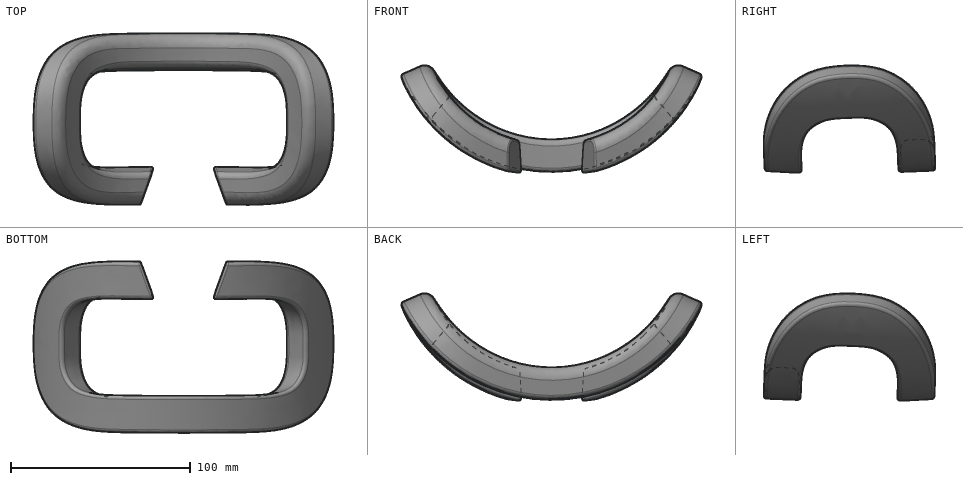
import math

import cadquery as cq

base_radius = 92.0
pad_height = 17.9
tilt = 2.3

straight_half = 37.5
outer_reach = 69.4
outer_half_width = 47.7
outer_power = 2.4
inner_reach = 39.2
inner_half_width = 26.5
inner_power = 3.2

base_round = 2.0
outer_round_bar = 7.5
outer_round_side = 6.1
inner_lean = 3.0
inner_round = 3.9

cap_angle = 20.0
cap_outer_x = 24.0
cap_round = 1.2
gap_margin = 5.0

LOOP_STEPS = 10
BAR_STEPS = 4


def loop_radius(angle, reach, half_width, power):
    """Polar radius of a superellipse, seen from the end of the straight bars."""
    along = abs(math.cos(angle)) / reach
    across = abs(math.sin(angle)) / half_width
    return (along**power + across**power) ** (-1 / power)


def wrap(s, y, height):
    """Point at a height above the unrolled base position (s, y), on the -X side."""
    turn = s / base_radius
    radius = base_radius - height
    return cq.Vector(-radius * math.sin(turn), y, base_radius - radius * math.cos(turn))


def rounded_corner(before, corner, after, radius):
    """Start, middle and end of the arc that rounds a corner of the cross-section."""
    corner = cq.Vector(*corner)
    to_before = (cq.Vector(*before) - corner).normalized()
    to_after = (cq.Vector(*after) - corner).normalized()
    half_angle = to_before.getAngle(to_after) / 2
    setback = radius / math.tan(half_angle)
    bisector = (to_before + to_after).normalized()
    middle = corner + bisector * (radius / math.sin(half_angle) - radius)
    return corner + to_before * setback, middle, corner + to_after * setback


def section(inner, outer, outer_round):
    """Closed cross-section standing on the line between two base points (s, y)."""
    width = math.dist(inner, outer)
    corners = [(0, 0), (width, 0), (width, pad_height), (inner_lean, pad_height)]
    radii = [base_round, base_round, outer_round, inner_round]

    def place(point):
        share = point.x / width
        s = inner[0] + (outer[0] - inner[0]) * share
        y = inner[1] + (outer[1] - inner[1]) * share
        return wrap(s, y, point.y)

    count = len(corners)
    arcs = [
        rounded_corner(corners[i - 1], corners[i], corners[(i + 1) % count], radii[i])
        for i in range(count)
    ]
    edges = []
    for i, (start, middle, end) in enumerate(arcs):
        next_start = arcs[(i + 1) % count][0]
        edges.append(cq.Edge.makeThreePointArc(place(start), place(middle), place(end)))
        edges.append(cq.Edge.makeSpline([place(end), place((end + next_start) / 2), place(next_start)]))
    return cq.Wire.assembleEdges(edges)


def bar_section(s, side):
    """Section of the back bar (side 1) or a front leg (side -1)."""
    return section((s, side * inner_half_width), (s, side * outer_half_width), outer_round_bar)


def loop_section(angle):
    """Section of the side loop, at an angle from its outermost point."""
    along = math.cos(angle)
    across = math.sin(angle)
    inner_r = loop_radius(angle, inner_reach, inner_half_width, inner_power)
    outer_r = loop_radius(angle, outer_reach, outer_half_width, outer_power)
    inner = (straight_half + inner_r * along, inner_r * across)
    outer = (straight_half + outer_r * along, outer_r * across)
    outer_round = outer_round_bar + (outer_round_side - outer_round_bar) * along**2
    return section(inner, outer, outer_round)


def ring():
    """Ring from one front leg, around over the back bar, to the other front leg."""
    bar = [straight_half * i / BAR_STEPS for i in range(1, BAR_STEPS)]
    loop = [math.pi * (i / LOOP_STEPS - 0.5) for i in range(LOOP_STEPS + 1)]
    left = [bar_section(s, -1) for s in bar]
    left += [loop_section(angle) for angle in loop]
    left += [bar_section(s, 1) for s in reversed(bar)]
    right = [wire.mirror("YZ") for wire in reversed(left)]
    return cq.Workplane(obj=cq.Solid.makeLoft(left + [bar_section(0, 1)] + right))


def leg_gap():
    """Tapered block that opens the front of the ring and leaves the splayed ends."""
    splay = math.tan(math.radians(cap_angle))
    front_x = cap_outer_x + splay * gap_margin
    back_x = cap_outer_x - splay * outer_half_width
    front_y = -outer_half_width - gap_margin
    profile = [(-front_x, front_y), (-back_x, 0), (back_x, 0), (front_x, front_y)]
    block = cq.Workplane("XY", origin=(0, 0, -gap_margin)).polyline(profile).close()
    return block.extrude(base_radius)


def round_ends(body):
    """Round the rim of both end faces; each round runs on from the outer wall's edge."""
    return body.faces("%PLANE").edges("<Y").fillet(cap_round)


opened_ring = ring().cut(leg_gap())
result = round_ends(opened_ring).rotate((0, 0, 0), (1, 0, 0), tilt)